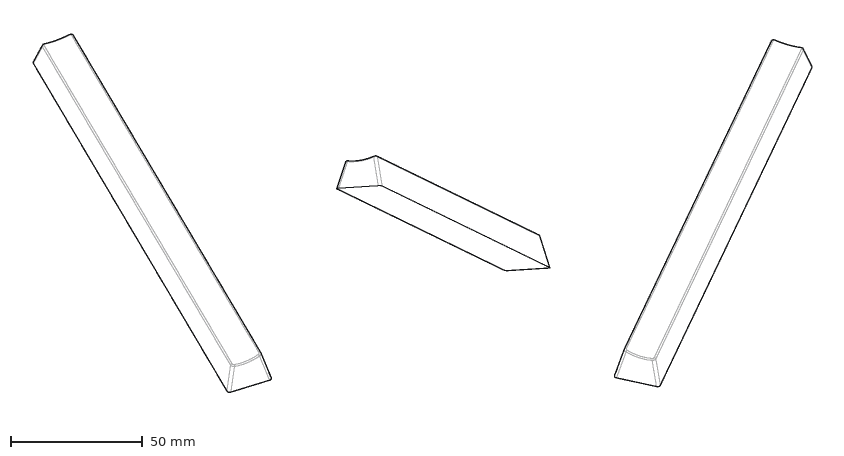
import cadquery as cq
import math

LENGTH = 189.75
WIDTH = 18.3
WALL_DRAFT = 14.0
CORNER_RADIUS = 1.2

REAR_RIM_HEIGHT = 12.6
FRONT_RIM_HEIGHT = 11.15
DISH_SAG = 1.0
RIM_RADIUS = 0.6

BLANK_HEIGHT = 14.0
OVERSIZE = 2.0


def wall_offset(height):
    """Half-width of the tapered body across Y at a given height."""
    return WIDTH / 2 - height * math.tan(math.radians(WALL_DRAFT))


def tapered_body():
    """Solid block with drafted walls and rounded upright corners."""
    block = cq.Workplane("XY").rect(LENGTH, WIDTH).extrude(BLANK_HEIGHT, taper=WALL_DRAFT)
    upright_edges = block.edges("not(#Z)")
    return upright_edges.fillet(CORNER_RADIUS)


def dish_cutter():
    """Cylinder along X whose underside passes through both rim edges."""
    rear_y = wall_offset(REAR_RIM_HEIGHT)
    front_y = -wall_offset(FRONT_RIM_HEIGHT)
    run = rear_y - front_y
    rise = REAR_RIM_HEIGHT - FRONT_RIM_HEIGHT
    chord = math.hypot(run, rise)
    radius = (chord**2 / 4 + DISH_SAG**2) / (2 * DISH_SAG)
    lift = radius - DISH_SAG
    axis_y = (rear_y + front_y) / 2 - lift * rise / chord
    axis_z = (REAR_RIM_HEIGHT + FRONT_RIM_HEIGHT) / 2 + lift * run / chord
    half_length = LENGTH / 2 + OVERSIZE
    return (
        cq.Workplane("YZ")
        .center(axis_y, axis_z)
        .circle(radius)
        .extrude(half_length, both=True)
    )


def round_rim(cap):
    """Round the edge loop where the dish meets the walls."""
    dish_face = cap.faces(">Z")
    return dish_face.edges().fillet(RIM_RADIUS)


result = round_rim(tapered_body().cut(dish_cutter()))